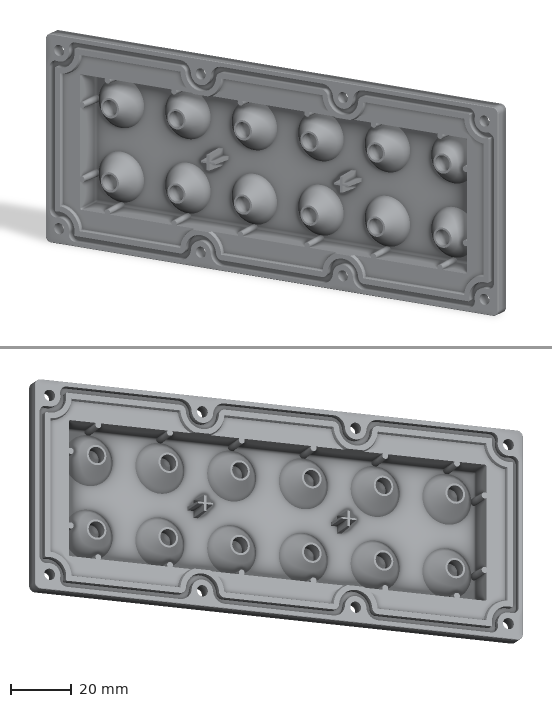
import cadquery as cq
import math

flange_length = 173.0
flange_height = 71.5
flange_thickness = 5.2
flange_corner_radius = 2.0
flange_edge_chamfer = 0.2

total_depth = 11.8
tray_inset = 10.7
tray_corner_radius = 1.7
tray_edge_chamfer = 0.5
draft_angle = 3.5
cavity_inset = 12.5
cavity_corner_radius = 0.5
cavity_depth = 10.2
cavity_draft = 3.5
cavity_floor_fillet = 0.9

hole_radius = 1.9
hole_inset = 5.2
middle_hole_x = 27.2

groove_inset = 1.5
groove_width = 2.0
ridge_width = 1.9
groove_depth = 2.5
land_depth = 1.2
land_draft = 18.0
hole_wall_radius = 3.8
middle_blend_radius = 4.2
corner_blend_radius = 2.5

boss_pitch = 25.5
boss_columns = 6
boss_rows = 2
boss_base_radius = 8.6
boss_top_radius = 3.5
boss_top_depth = 2.8
boss_bore_radius = 2.8
boss_bore_depth = 5.2
boss_bore_tip_angle = 118.0

rib_mouth_radius = 1.0
rib_foot_radius = 1.4
rib_inset = 0.7

post_x = boss_pitch
post_span = 5.9
post_upright_width = 1.5
post_crossbar_width = 1.2
post_top_depth = 1.7
post_draft = 2.0

floor_y = cavity_depth
hole_x = flange_length / 2 - hole_inset
hole_z = flange_height / 2 - hole_inset
corner_holes = [(x, z) for x in (-hole_x, hole_x) for z in (-hole_z, hole_z)]
middle_holes = [(x, z) for x in (-middle_hole_x, middle_hole_x) for z in (-hole_z, hole_z)]
holes = corner_holes + middle_holes

boss_xs = [boss_pitch * (i - (boss_columns - 1) / 2) for i in range(boss_columns)]
boss_zs = [boss_pitch * (i - (boss_rows - 1) / 2) for i in range(boss_rows)]


def plane_at(y):
    """Workplane at depth y facing -Y, with local x along X and local y along Z."""
    return cq.Workplane(cq.Plane(origin=(0, y, 0), xDir=(1, 0, 0), normal=(0, -1, 0)))


def block(inset, y_start, y_end, taper=0.0):
    """Rectangular block inset from the flange outline, narrowing by the taper toward y_end."""
    length = flange_length - 2 * inset
    height = flange_height - 2 * inset
    return plane_at(y_start).rect(length, height).extrude(y_start - y_end, taper=taper)


def disc(x, z, radius, y_start, y_end):
    return plane_at(y_start).center(x, z).circle(radius).extrude(y_start - y_end)


def in_all_quarters(body):
    """The body together with its mirror images across X = 0 and Z = 0."""
    pair = body.union(body.mirror("YZ"))
    return pair.union(pair.mirror("XY"))


def cone(x, z, start_radius, end_radius, y_start, y_end):
    direction = cq.Vector(0, math.copysign(1, y_end - y_start), 0)
    start = cq.Vector(x, y_start, z)
    return cq.Workplane(cq.Solid.makeCone(start_radius, end_radius, abs(y_end - y_start), start, direction))


def scallop(x, z, offset, blend_radius, depth, at_corner):
    """Cutter that bends the outline inward around one screw hole, with blended shoulders."""
    arc_radius = hole_wall_radius + offset
    blend = max(blend_radius - offset, 0)
    edge = hole_inset - groove_inset - offset
    rise = edge - blend
    reach = math.sqrt((arc_radius + blend) ** 2 - rise ** 2)
    touch_along = reach * arc_radius / (arc_radius + blend)
    touch_rise = rise * arc_radius / (arc_radius + blend)
    diagonal = arc_radius / math.sqrt(2)

    start = (-reach, edge)
    first_touch = (-touch_along, touch_rise)
    if at_corner:
        arc_middle = (-diagonal, -diagonal)
        last_touch = (touch_rise, -touch_along)
        end = (edge, -reach)
        outside = [(hole_inset, -reach), (hole_inset, hole_inset), (-reach, hole_inset)]
    else:
        arc_middle = (0, -arc_radius)
        last_touch = (touch_along, touch_rise)
        end = (reach, edge)
        outside = [(reach, hole_inset), (-reach, hole_inset)]

    outline = plane_at(0).center(x, z).moveTo(*start)
    if blend > 0:
        outline = outline.radiusArc(first_touch, blend)
    outline = outline.threePointArc(arc_middle, last_touch)
    if blend > 0:
        outline = outline.radiusArc(end, blend)
    for point in outside:
        outline = outline.lineTo(*point)
    return outline.close().extrude(-depth)


def scalloped_block(offset, depth):
    """Block bending in around the screw holes, offset inward from the groove's outer wall."""
    middle = scallop(middle_hole_x, hole_z, offset, middle_blend_radius, depth, at_corner=False)
    corner = scallop(hole_x, hole_z, offset, corner_blend_radius, depth, at_corner=True)
    body = block(groove_inset + offset, 0, depth)
    return body.cut(in_all_quarters(middle)).cut(in_all_quarters(corner))


def make_shell():
    """Flange with the tray on its back, still solid."""
    flange = block(0, 0, flange_thickness).edges("|Y").fillet(flange_corner_radius)
    flange = flange.faces("<Y").edges().chamfer(flange_edge_chamfer)
    tray = block(tray_inset, flange_thickness, total_depth, draft_angle)
    tray = tray.edges("not(|X or |Z)").fillet(tray_corner_radius)
    tray = tray.faces(">Y").edges().chamfer(tray_edge_chamfer)
    return flange.union(tray)


def make_seal_recess():
    """Groove just inside the rim, then a ridge, then the lower land around the cavity."""
    groove = scalloped_block(0, groove_depth).cut(scalloped_block(groove_width, groove_depth))
    land_outline = scalloped_block(groove_width + ridge_width, land_depth).faces("<Y").wires().val()
    land = plane_at(0).add(land_outline).toPending().extrude(-land_depth, taper=land_draft)
    return groove, land


def make_cavity():
    cavity = block(cavity_inset, 0, floor_y, cavity_draft)
    cavity = cavity.edges("not(|X or |Z)").fillet(cavity_corner_radius)
    return cavity.faces(">Y").edges().fillet(cavity_floor_fillet)


def make_boss(x, z):
    """Cone standing on the floor, with a drilled blind bore."""
    body = cone(x, z, boss_base_radius, boss_top_radius, floor_y, boss_top_depth)
    bore_end = boss_top_depth + boss_bore_depth
    tip_length = boss_bore_radius / math.tan(math.radians(boss_bore_tip_angle / 2))
    tip = cone(x, z, boss_bore_radius, 0, bore_end, bore_end + tip_length)
    bore = disc(x, z, boss_bore_radius, boss_top_depth, bore_end).union(tip)
    return body.cut(bore)


def make_rib(x, z):
    return cone(x, z, rib_foot_radius, rib_mouth_radius, floor_y, land_depth)


def make_post(x):
    """Cross-shaped post standing on the floor."""
    section = plane_at(floor_y).center(x, 0)
    height = floor_y - post_top_depth
    upright = section.rect(post_upright_width, post_span).extrude(height, taper=post_draft)
    crossbar = section.rect(post_span, post_crossbar_width).extrude(height, taper=post_draft)
    return upright.union(crossbar)


groove, land = make_seal_recess()
result = make_shell().cut(groove).cut(land).cut(make_cavity())

for x in boss_xs:
    for z in boss_zs:
        result = result.union(make_boss(x, z))

rib_x = flange_length / 2 - cavity_inset - rib_inset
rib_z = flange_height / 2 - cavity_inset - rib_inset
end_ribs = [(x, z) for x in (-rib_x, rib_x) for z in boss_zs]
side_ribs = [(x, z) for x in boss_xs for z in (-rib_z, rib_z)]
for x, z in end_ribs + side_ribs:
    result = result.union(make_rib(x, z))

for x in (-post_x, post_x):
    result = result.union(make_post(x))

for x, z in holes:
    result = result.cut(disc(x, z, hole_radius, 0, flange_thickness))